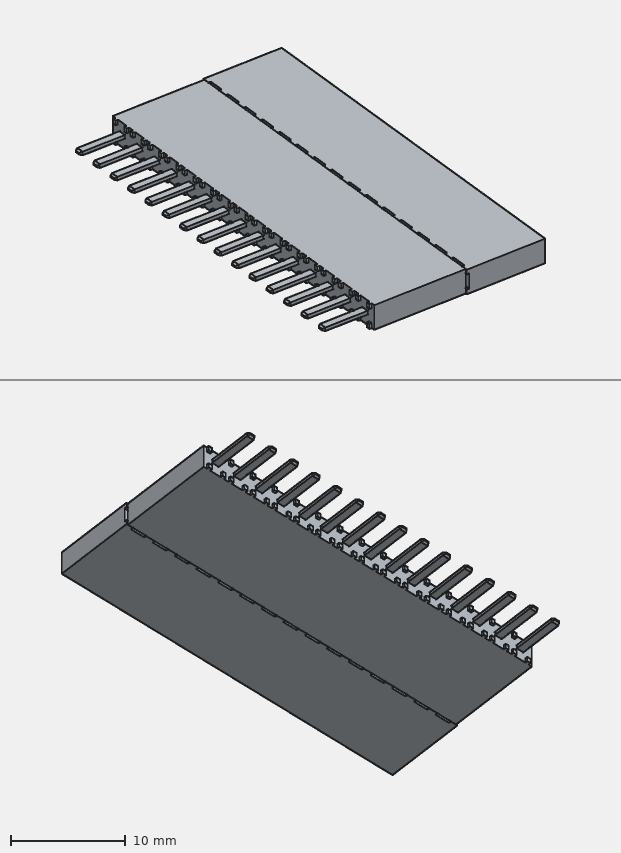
import cadquery as cq

total_length = 23.25
height = 2.55

pin_count = 15
pin_row_length = 35.55
pin_pitch = pin_row_length / (pin_count - 1)
pin_width = 0.77
pin_thickness = 0.4
tip_length = 0.25
tip_inset = 0.1

foot_depth = 0.25
foot_height = 0.5

socket_width = 38.6
socket_length = 8.5
socket_foot_gap = 1.55

spacer_width = 38.3
spacer_length = 9.92
spacer_foot_width = 0.4
spacer_foot_gap = 1.25

back_y = total_length / 2
joint_y = back_y - socket_length
socket_face_y = joint_y + foot_depth
spacer_face_y = joint_y - spacer_length
tip_y = -total_length / 2
tip_shoulder_y = tip_y + tip_length

pin_places = [(i - (pin_count - 1) / 2) * pin_pitch for i in range(pin_count)]


def block(x_start, x_end, y_start, y_end, z_start, z_end):
    """Box between opposite corners."""
    size = (x_end - x_start, y_end - y_start, z_end - z_start)
    return cq.Workplane("XY").box(*size, centered=False).translate((x_start, y_start, z_start))


def housing(width, y_start, y_end):
    """Plain rectangular housing, centred on X and Z."""
    return block(-width / 2, width / 2, y_start, y_end, -height / 2, height / 2)


def foot_pair(x_start, x_end, face_y):
    """One foot at the top edge and one at the bottom edge, in front of a housing face."""
    top = block(x_start, x_end, face_y - foot_depth, face_y, height / 2 - foot_height, height / 2)
    return top.union(top.mirror("XY"))


def pin_shank(x, y_start, y_end):
    """Straight length of a flat pin, which also serves as the cutter for its hole."""
    half_width = pin_width / 2
    half_thickness = pin_thickness / 2
    return block(x - half_width, x + half_width, y_start, y_end, -half_thickness, half_thickness)


def pin_tip(x):
    """Tapered front end of a pin."""
    return (
        cq.Workplane("XZ", origin=(x, tip_shoulder_y, 0))
        .rect(pin_width, pin_thickness)
        .workplane(offset=tip_length)
        .rect(pin_width - 2 * tip_inset, pin_thickness - 2 * tip_inset)
        .loft(ruled=True)
    )


def make_socket():
    """Socket whose feet fill the spaces between its long pins."""
    body = housing(socket_width, socket_face_y, back_y)
    foot_starts = [-socket_width / 2] + [x + socket_foot_gap / 2 for x in pin_places]
    foot_ends = [x - socket_foot_gap / 2 for x in pin_places] + [socket_width / 2]
    for x_start, x_end in zip(foot_starts, foot_ends):
        body = body.union(foot_pair(x_start, x_end, socket_face_y))
    for x in pin_places:
        body = body.union(pin_shank(x, tip_shoulder_y, socket_face_y))
        body = body.union(pin_tip(x))
    return body


def make_spacer():
    """Spacer that the pins pass through, with a narrow foot on both sides of each pin."""
    body = housing(spacer_width, spacer_face_y, joint_y)
    for x in pin_places:
        right_start = x + spacer_foot_gap / 2
        left_end = x - spacer_foot_gap / 2
        body = body.union(foot_pair(right_start, right_start + spacer_foot_width, spacer_face_y))
        body = body.union(foot_pair(left_end - spacer_foot_width, left_end, spacer_face_y))
        body = body.cut(pin_shank(x, spacer_face_y, joint_y))
    return body


socket = make_socket()
spacer = make_spacer()

result = cq.Compound.makeCompound([socket.solids().val(), spacer.solids().val()])